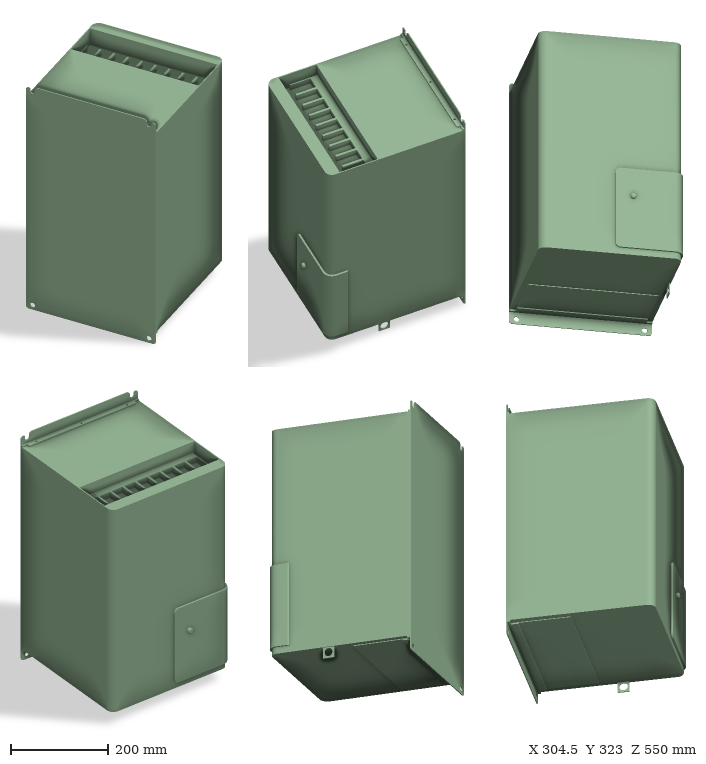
import cadquery as cq


body_width = 300.0
body_depth = 312.0
body_bottom = 29.5
body_top = 522.0
body_corner_radius = 16.5
half_width = body_width / 2

wall = 2.0
recess_front = 198.0
recess_back = 284.5
recess_depth = 42.0
recess_floor = body_top - recess_depth
fin_pitch = 32.0
fin_count = 10
fin_thickness = 5.0
fin_height = 15.0
sink_bar_back = 215.0
sink_back = 261.0
sink_width = fin_pitch * (fin_count - 1)

overall_height = 550.0
sheet = 2.0
top_fold_depth = 6.0
bottom_fold_depth = 8.0
tab_height = 4.0
tab_width = 275.0
tab_corner = 3.0
top_tab_depth = 14.0
bottom_tab_depth = 23.0
tab_hole_diameter = 5.0
tab_hole_spacing = 116.5
tab_hole_y = 9.0
fixing_diameter = 11.0
fixing_inset = 15.5
slot_centre_z = 539.0
fixing_hole_z = 11.0
ear_drop = 4.0
ear_corner = 4.0
ear_inner_corner = 2.0
shoulder_chamfer = 4.5
flange_bottom_radius = 6.5

under_plate_depth = 133.0
under_plate_thickness = 1.5

cover_thickness = 4.5
cover_bottom = 44.0
cover_height = 180.0
cover_front = 268.0
cover_reach = 141.0
cover_end_radius = 10.5
cover_edge_chamfer = 2.0

overall_depth = 323.0
screw_diameter = 12.0
screw_chamfer = 1.5
screw_inset = 104.0
screw_z = 161.0

lug_inset = 2.0
lug_front = 170.5
lug_width = 25.0
lug_bottom = 6.0
lug_hole_diameter = 17.5
lug_hole_z = 18.5


def block(x0, x1, y0, y1, z0, z1):
    """Box between two opposite corners."""
    return cq.Workplane("XY").box(x1 - x0, y1 - y0, z1 - z0, centered=False).translate((x0, y0, z0))


def y_cylinder(x, z, diameter, y0, y1):
    """Cylinder along Y from y0 to y1."""
    return cq.Workplane("XZ", origin=(x, y0, z)).circle(diameter / 2).extrude(y0 - y1)


def make_body():
    body = block(-half_width, half_width, 0, body_depth, body_bottom, body_top)
    body = body.edges("|Z and >Y").fillet(body_corner_radius)
    inner = half_width - wall
    return body.cut(block(-inner, inner, recess_front, recess_back, recess_floor, body_top))


def make_heat_sink():
    half_sink = sink_width / 2
    top = recess_floor + fin_height
    sink = block(-half_sink, half_sink, recess_front, sink_bar_back, recess_floor, top)
    for i in range(fin_count):
        centre = -half_sink + i * fin_pitch
        left = max(centre - fin_thickness / 2, -half_sink)
        right = min(centre + fin_thickness / 2, half_sink)
        sink = sink.union(block(left, right, recess_front, sink_back, recess_floor, top))
    return sink


def make_flanges():
    ear_top = overall_height - ear_drop
    slot_radius = fixing_diameter / 2
    slot_centre = half_width - fixing_inset
    slot_outer = slot_centre + slot_radius
    slot_inner = slot_centre - slot_radius
    upper_half = (
        cq.Workplane("XZ")
        .moveTo(0, body_top)
        .lineTo(half_width, body_top)
        .lineTo(half_width, ear_top - ear_corner)
        .lineTo(half_width - ear_corner, ear_top)
        .lineTo(slot_outer + ear_inner_corner, ear_top)
        .lineTo(slot_outer, ear_top - ear_inner_corner)
        .lineTo(slot_outer, slot_centre_z)
        .threePointArc((slot_centre, slot_centre_z - slot_radius), (slot_inner, slot_centre_z))
        .lineTo(slot_inner, overall_height - shoulder_chamfer)
        .lineTo(slot_inner - shoulder_chamfer, overall_height)
        .lineTo(0, overall_height)
        .close()
        .extrude(-sheet)
    )
    upper = upper_half.union(upper_half.mirror("YZ"))
    lower = block(-half_width, half_width, 0, sheet, 0, body_bottom)
    lower = lower.edges("|Y and <Z").fillet(flange_bottom_radius)
    for side in (-1, 1):
        lower = lower.cut(y_cylinder(side * slot_centre, fixing_hole_z, fixing_diameter, 0, sheet))
    return upper.union(lower)


def make_tab(depth, fold_depth, z):
    """Folded tab of the given depth, with its underside at z and a full-width strip along the fold."""
    tab = block(-tab_width / 2, tab_width / 2, 0, depth, z, z + tab_height)
    tab = tab.edges("|Z and >Y").fillet(tab_corner)
    return tab.union(block(-half_width, half_width, 0, fold_depth, z, z + tab_height))


def make_top_tab():
    holes = (
        cq.Workplane("XY", origin=(0, tab_hole_y, body_top))
        .pushPoints([(i * tab_hole_spacing, 0) for i in (-1, 0, 1)])
        .circle(tab_hole_diameter / 2)
        .extrude(tab_height)
    )
    return make_tab(top_tab_depth, top_fold_depth, body_top).cut(holes)


def make_under_plate():
    half_plate = tab_width / 2
    underside = body_bottom - under_plate_thickness
    return block(-half_plate, half_plate, 0, under_plate_depth, underside, body_bottom)


def make_cover():
    """Solid corner block; its inside merges with the body, leaving only the cover thickness proud."""
    left = -half_width - cover_thickness
    right = -half_width + cover_reach
    back = body_depth + cover_thickness
    top = cover_bottom + cover_height
    cover = block(left, right, cover_front, back, cover_bottom, top)
    cover = cover.edges("|Y and >X").fillet(cover_end_radius)
    cover = cover.edges("|Z and <X and >Y").fillet(body_corner_radius + cover_thickness)
    return cover.edges("|Z and <X and <Y").chamfer(cover_edge_chamfer)


def make_screw():
    screw = y_cylinder(-half_width + screw_inset, screw_z, screw_diameter, body_depth, overall_depth)
    return screw.faces(">Y").chamfer(screw_chamfer)


def make_lug():
    left = -half_width + lug_inset
    lug = block(left, left + sheet, lug_front, lug_front + lug_width, lug_bottom, body_bottom)
    hole = (
        cq.Workplane("YZ", origin=(left, lug_front + lug_width / 2, lug_hole_z))
        .circle(lug_hole_diameter / 2)
        .extrude(sheet)
    )
    return lug.cut(hole)


result = (
    make_body()
    .union(make_heat_sink())
    .union(make_flanges())
    .union(make_top_tab())
    .union(make_tab(bottom_tab_depth, bottom_fold_depth, body_bottom - tab_height))
    .union(make_under_plate())
    .union(make_cover())
    .union(make_screw())
    .union(make_lug())
)